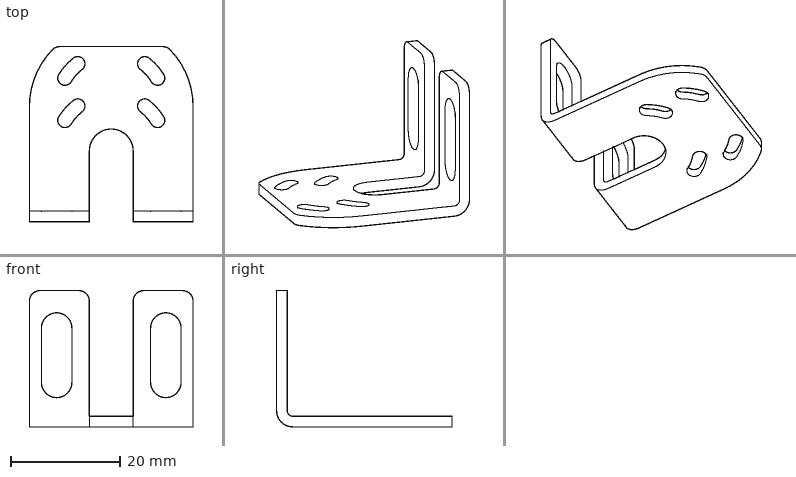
import cadquery as cq
import math

width = 30.0
depth = 32.12
height = 25.0
thickness = 2.0

inner_bend_radius = 1.0
outer_bend_radius = inner_bend_radius + thickness

rear_center_y = 21.1
rear_radius = width / 2
corner_radius = 2.0

notch_width = 7.95
notch_end_y = 17.0

tab_slot_x = 10.0
tab_slot_width = 5.52
tab_slot_length = 15.48
tab_slot_z = 13.15

curved_slot_radius = 9.95
curved_slot_width = 2.6
curved_slot_spacing = 7.75
curved_slot_start = 31.7
curved_slot_end = 52.0


def bent_strip():
    """L-shaped sheet profile across the full width."""
    return (
        cq.Workplane("YZ")
        .moveTo(depth, 0)
        .lineTo(outer_bend_radius, 0)
        .radiusArc((0, outer_bend_radius), outer_bend_radius)
        .lineTo(0, height)
        .lineTo(thickness, height)
        .lineTo(thickness, outer_bend_radius)
        .radiusArc((outer_bend_radius, thickness), -inner_bend_radius)
        .lineTo(depth, thickness)
        .close()
        .extrude(width / 2, both=True)
    )


def base_outline():
    """Plan outline: straight sides, large arcs and blended rear corners."""
    center_offset = rear_radius - corner_radius
    corner_y = depth - corner_radius
    corner_x = math.sqrt(center_offset**2 - (corner_y - rear_center_y)**2)
    touch_x = corner_x * rear_radius / center_offset
    touch_y = rear_center_y + (corner_y - rear_center_y) * rear_radius / center_offset
    return (
        cq.Workplane("XY")
        .moveTo(-width / 2, 0)
        .lineTo(width / 2, 0)
        .lineTo(width / 2, rear_center_y)
        .radiusArc((touch_x, touch_y), -rear_radius)
        .radiusArc((corner_x, depth), -corner_radius)
        .lineTo(-corner_x, depth)
        .radiusArc((-touch_x, touch_y), -corner_radius)
        .radiusArc((-width / 2, rear_center_y), -rear_radius)
        .close()
        .extrude(height)
    )


def notch():
    """Cutter open at the front, with a semicircular rear end."""
    radius = notch_width / 2
    center_y = notch_end_y - radius
    return (
        cq.Workplane("XY")
        .moveTo(-radius, 0)
        .lineTo(radius, 0)
        .lineTo(radius, center_y)
        .threePointArc((0, notch_end_y), (-radius, center_y))
        .close()
        .extrude(height)
    )


def tab_slots():
    """Vertical round-ended cutters through both tabs."""
    return (
        cq.Workplane("XZ")
        .pushPoints([(-tab_slot_x, tab_slot_z), (tab_slot_x, tab_slot_z)])
        .slot2D(tab_slot_length, tab_slot_width, 90)
        .extrude(-thickness)
    )


def curved_slot(center_y):
    """Cutter for a round-ended arc slot on the +X side."""
    half_width = curved_slot_width / 2
    outer = curved_slot_radius + half_width
    inner = curved_slot_radius - half_width

    def polar(radius, angle):
        turn = math.radians(angle)
        return radius * math.cos(turn), center_y + radius * math.sin(turn)

    return (
        cq.Workplane("XY")
        .moveTo(*polar(outer, curved_slot_start))
        .radiusArc(polar(outer, curved_slot_end), -outer)
        .radiusArc(polar(inner, curved_slot_end), -half_width)
        .radiusArc(polar(inner, curved_slot_start), inner)
        .radiusArc(polar(outer, curved_slot_start), -half_width)
        .close()
        .extrude(thickness)
    )


result = bent_strip().intersect(base_outline()).cut(notch())

result = result.faces(">Z").edges("|Y").fillet(corner_radius)

result = result.cut(tab_slots())

for slot_center_y in (rear_center_y, rear_center_y - curved_slot_spacing):
    slot = curved_slot(slot_center_y)
    result = result.cut(slot).cut(slot.mirror("YZ"))